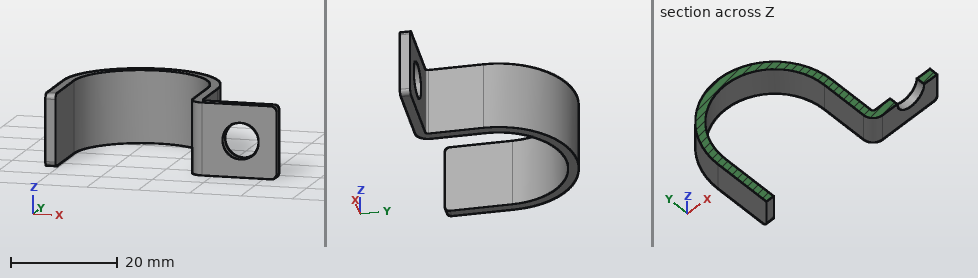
import cadquery as cq

strip_width = 14.0
thickness = 2.0
outer_radius = 15.0
leg_length = 13.0
foot_reach = 30.0
bend_inner_radius = 0.5
corner_radius = 1.0
hole_diameter = 7.0
hole_x = 23.0

inner_radius = outer_radius - thickness
bend_outer_radius = bend_inner_radius + thickness
base_y = -leg_length
foot_top_y = base_y + thickness
bend_x = outer_radius + bend_inner_radius
bend_y = foot_top_y + bend_inner_radius


def make_strip():
    """Bent strip: free leg, half-round saddle, second leg and outward foot."""
    return (
        cq.Workplane("XY")
        .moveTo(-outer_radius, base_y)
        .lineTo(-outer_radius, 0)
        .threePointArc((0, outer_radius), (outer_radius, 0))
        .lineTo(outer_radius, bend_y)
        .radiusArc((bend_x, foot_top_y), -bend_inner_radius)
        .lineTo(foot_reach, foot_top_y)
        .lineTo(foot_reach, base_y)
        .lineTo(bend_x, base_y)
        .radiusArc((inner_radius, bend_y), bend_outer_radius)
        .lineTo(inner_radius, 0)
        .threePointArc((0, inner_radius), (-inner_radius, 0))
        .lineTo(-inner_radius, base_y)
        .close()
        .extrude(strip_width / 2, both=True)
    )


def round_end_corners(strip):
    """Round the corners of the free leg and of the foot."""
    strip = strip.faces(">X").edges("|Y").fillet(corner_radius)
    return strip.edges("|X").edges("<X").fillet(corner_radius)


def make_screw_hole():
    """Cylinder that cuts the screw hole through the foot."""
    return (
        cq.Workplane("XZ", origin=(hole_x, foot_top_y, 0))
        .circle(hole_diameter / 2)
        .extrude(thickness)
    )


result = round_end_corners(make_strip()).cut(make_screw_hole())